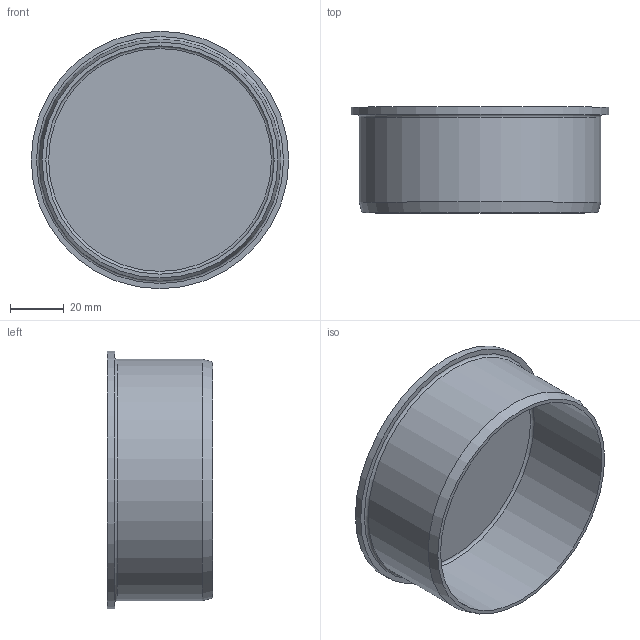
import cadquery as cq
import math

flange_diameter = 95.9
flange_thickness = 2.8
sleeve_outer_diameter = 90.0
sleeve_inner_diameter = 85.0
total_length = 39.4
floor_thickness = 2.8
fillet_radius = 1.0
lead_in_length = 4.0
lead_in_angle = 15.0

flange_radius = flange_diameter / 2
outer_radius = sleeve_outer_diameter / 2
inner_radius = sleeve_inner_diameter / 2
tip_radius = outer_radius - lead_in_length * math.tan(math.radians(lead_in_angle))
arc_middle = fillet_radius * (1 - math.sqrt(0.5))


def cap_profile():
    """Closed half section in the XY plane, with X as the radius and Y as the axis."""
    return (
        cq.Workplane("XY")
        .moveTo(0, 0)
        .lineTo(flange_radius, 0)
        .lineTo(flange_radius, -flange_thickness)
        .lineTo(outer_radius + fillet_radius, -flange_thickness)
        .threePointArc(
            (outer_radius + arc_middle, -flange_thickness - arc_middle),
            (outer_radius, -flange_thickness - fillet_radius),
        )
        .lineTo(outer_radius, lead_in_length - total_length)
        .lineTo(tip_radius, -total_length)
        .lineTo(inner_radius, -total_length)
        .lineTo(inner_radius, -floor_thickness - fillet_radius)
        .threePointArc(
            (inner_radius - arc_middle, -floor_thickness - arc_middle),
            (inner_radius - fillet_radius, -floor_thickness),
        )
        .lineTo(0, -floor_thickness)
        .close()
    )


result = cap_profile().revolve(360, (0, 0, 0), (0, 1, 0))